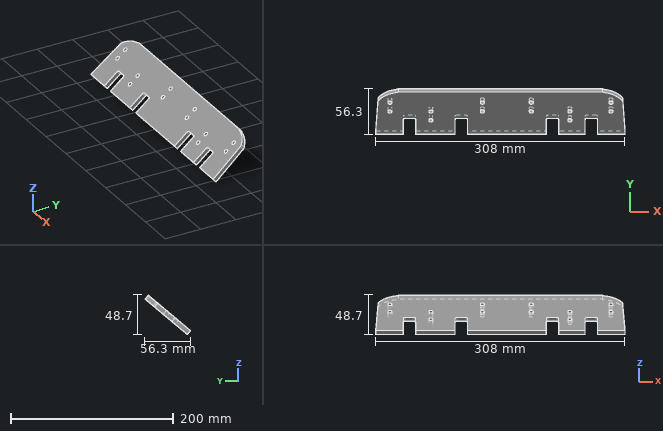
import cadquery as cq
import math

thickness = 6.35
tilt = 40.0
bottom_width = 307.98
plate_length = 68.22

top_edge_width = 251.4
shoulder_width = 301.8
hollow_radius = 10.0
hollow_start_angle = 31.0
hollow_end_angle = 9.0
corner_radius = 33.3
shoulder_radius = 5.0

slot_width = 15.15
slot_depth = 25.4
slot_corner_radius = 2.0
slot_centers = (-112.2, -48.2, 64.2, 112.2)

hole_diameter = 5.0
hole_pitch = 14.29
lowest_hole_height = 22.2
hole_pairs_low = (-85.7, 85.7)
hole_pairs_high = (-136.4, -22.3, 38.1, 136.4)


def make_plate():
    """Flat blank: tapered sides and rounded upper corners, upper face at Z = 0."""
    half_bottom = bottom_width / 2
    half_top = top_edge_width / 2
    half_shoulder = shoulder_width / 2

    start = math.radians(hollow_start_angle)
    join = math.radians(hollow_end_angle)
    join_x = half_top + hollow_radius * (math.sin(start) - math.sin(join))
    join_height = plate_length - hollow_radius * (math.cos(join) - math.cos(start))

    sine_at_shoulder = math.sin(join) + (half_shoulder - join_x) / corner_radius
    cosine_at_shoulder = math.sqrt(1 - sine_at_shoulder**2)
    shoulder_height = join_height - corner_radius * (math.cos(join) - cosine_at_shoulder)

    blank = (
        cq.Workplane("XY")
        .moveTo(-half_bottom, 0)
        .lineTo(half_bottom, 0)
        .lineTo(half_shoulder, shoulder_height)
        .radiusArc((join_x, join_height), -corner_radius)
        .radiusArc((half_top, plate_length), hollow_radius)
        .lineTo(-half_top, plate_length)
        .radiusArc((-join_x, join_height), hollow_radius)
        .radiusArc((-half_shoulder, shoulder_height), -corner_radius)
        .close()
        .extrude(-thickness)
    )
    for side in (-1, 1):
        shoulder_middle = (side * half_shoulder, shoulder_height, -thickness / 2)
        blank = blank.edges(cq.selectors.NearestToPointSelector(shoulder_middle)).fillet(shoulder_radius)
    return blank


def make_slots():
    """Cutters for the slots, rounded at their inner corners."""
    return (
        cq.Workplane("XY")
        .pushPoints([(x, 0) for x in slot_centers])
        .rect(slot_width, 2 * slot_depth)
        .extrude(-thickness)
        .edges("|Z")
        .fillet(slot_corner_radius)
    )


def make_holes():
    """Cutters for the hole pairs; the high pairs sit one pitch above the low ones."""
    centers = []
    for row in (0, 1):
        low_height = lowest_hole_height + row * hole_pitch
        centers += [(x, low_height) for x in hole_pairs_low]
        centers += [(x, low_height + hole_pitch) for x in hole_pairs_high]
    return cq.Workplane("XY").pushPoints(centers).circle(hole_diameter / 2).extrude(-thickness)


flat_plate = make_plate().cut(make_slots()).cut(make_holes())
result = flat_plate.rotate((0, 0, 0), (1, 0, 0), tilt)